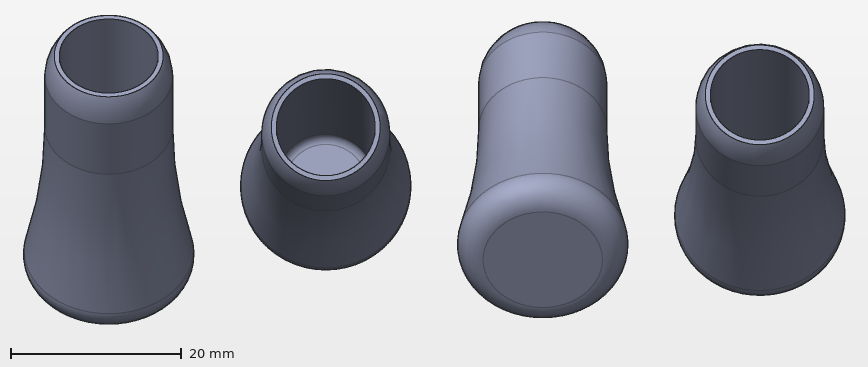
import cadquery as cq
import math

height = 38.0
widest_diameter = 20.0
neck_diameter = 15.0
mouth_diameter = 12.75
foot_corner_radius = 3.0
bore_diameter = 11.6
bore_corner_radius = 1.0
bore_depth = 34.2

foot_joint = 3.65
neck_bottom = 25.57
neck_top = 34.45

foot_center_radius = widest_diameter / 2 - foot_corner_radius
foot_end_angle = math.asin((foot_joint - foot_corner_radius) / foot_corner_radius)


def foot_point(angle):
    """Point (radius, height) on the foot rounding, with angle measured up from horizontal."""
    radius = foot_center_radius + foot_corner_radius * math.cos(angle)
    return radius, foot_corner_radius * (1 + math.sin(angle))


def axial_tangent_midpoint(start, end):
    """Middle of the arc that leaves start parallel to the axis and reaches end, in (radius, height)."""
    radial = end[0] - start[0]
    axial = end[1] - start[1]
    arc_radius = (radial**2 + axial**2) / (2 * abs(radial))
    half_angle = math.asin(abs(axial) / arc_radius) / 2
    mid_radial = math.copysign(arc_radius * (1 - math.cos(half_angle)), radial)
    mid_axial = math.copysign(arc_radius * math.sin(half_angle), axial)
    return start[0] + mid_radial, start[1] + mid_axial


def make_body():
    """Solid handle: rounded foot, concave flare, straight neck and rounded mouth."""
    flare_start = foot_point(foot_end_angle)
    neck_start = (neck_diameter / 2, neck_bottom)
    neck_end = (neck_diameter / 2, neck_top)
    mouth = (mouth_diameter / 2, height)
    profile = (
        cq.Workplane("XZ")
        .lineTo(foot_center_radius, 0)
        .threePointArc(foot_point(-math.pi / 4), flare_start)
        .threePointArc(axial_tangent_midpoint(neck_start, flare_start), neck_start)
        .lineTo(*neck_end)
        .threePointArc(axial_tangent_midpoint(neck_end, mouth), mouth)
        .lineTo(0, height)
        .close()
    )
    return profile.revolve(360, (0, 0, 0), (0, 1, 0))


def make_bore():
    """Blind bore from the mouth, with a rounded corner around its floor."""
    floor = cq.Workplane("XY").workplane(offset=height - bore_depth)
    bore = floor.circle(bore_diameter / 2).extrude(bore_depth)
    return bore.faces("<Z").edges().fillet(bore_corner_radius)


result = make_body().cut(make_bore())